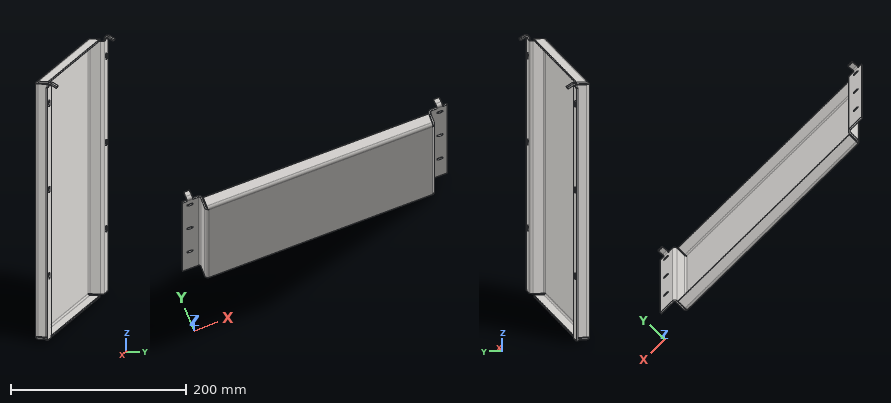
import cadquery as cq
import math

sheet = 2.0
inner_radius = 2.0
outer_radius = inner_radius + sheet

half_width = 162.0
wall_outer = 140.5
wall_inner = wall_outer - sheet
wing_back = 19.8
wing_front = wing_back - sheet
wing_bottom = 3.2
wing_top = 296.8

panel_height = 299.7
return_half_width = 138.0
return_depth = 15.2

hole_diameter = 7.0
hole_x = half_width - 9.0
top_hole_z = wing_top - 19.5
hole_pitch = 100.0
hole_count = 3

hook_width = 7.0
hook_inner_radius = 1.3
hook_outer_radius = hook_inner_radius + sheet
hook_turn = 120.0
hook_top = 301.5
hook_tip_y = 29.5
hook_root = 3.2
hook_corner_radius = 1.0


def make_channel():
    """Hat section extruded vertically, with clearance for the end returns."""
    half = (
        cq.Workplane("XY", origin=(0, 0, wing_bottom))
        .lineTo(wall_outer - outer_radius, 0)
        .tangentArcPoint((wall_outer, outer_radius), relative=False)
        .lineTo(wall_outer, wing_front - inner_radius)
        .tangentArcPoint((wall_outer + inner_radius, wing_front), relative=False)
        .lineTo(half_width, wing_front)
        .lineTo(half_width, wing_back)
        .lineTo(wall_inner + outer_radius, wing_back)
        .tangentArcPoint((wall_inner, wing_back - outer_radius), relative=False)
        .lineTo(wall_inner, outer_radius)
        .tangentArcPoint((wall_inner - inner_radius, sheet), relative=False)
        .lineTo(0, sheet)
        .close()
        .extrude(wing_top - wing_bottom)
    )
    channel = half.union(half.mirror("YZ"))
    clearance = cq.Workplane("XY").box(
        2 * return_half_width, 2 * sheet, outer_radius, centered=(True, True, False)
    )
    for z in (0, panel_height - outer_radius):
        channel = channel.cut(clearance.translate((0, 0, z)))
    return channel


def make_bottom_return():
    """Bend and flange along the bottom edge of the panel."""
    return (
        cq.Workplane("YZ")
        .moveTo(sheet, outer_radius)
        .lineTo(0, outer_radius)
        .radiusArc((outer_radius, 0), -outer_radius)
        .lineTo(return_depth, 0)
        .lineTo(return_depth, sheet)
        .lineTo(outer_radius, sheet)
        .radiusArc((sheet, outer_radius), inner_radius)
        .close()
        .extrude(return_half_width, both=True)
    )


def make_hook(center_x):
    """Strip rising from a wing, bent back and down to a rounded tip."""
    center_y = wing_front + hook_outer_radius
    center_z = hook_top - hook_outer_radius

    def on_bend(radius, turn):
        angle = math.radians(180 - turn)
        return (center_y + radius * math.cos(angle), center_z + radius * math.sin(angle))

    slope = math.radians(hook_turn - 90)
    outer_end = on_bend(hook_outer_radius, hook_turn)
    inner_end = on_bend(hook_inner_radius, hook_turn)
    run = hook_tip_y - outer_end[0]
    drop = run * math.tan(slope)
    hook = (
        cq.Workplane("YZ", origin=(center_x, 0, 0))
        .moveTo(wing_front, wing_top - hook_root)
        .lineTo(wing_front, center_z)
        .threePointArc(on_bend(hook_outer_radius, hook_turn / 2), outer_end)
        .lineTo(outer_end[0] + run, outer_end[1] - drop)
        .lineTo(inner_end[0] + run, inner_end[1] - drop)
        .lineTo(*inner_end)
        .threePointArc(on_bend(hook_inner_radius, hook_turn / 2), (wing_back, center_z))
        .lineTo(wing_back, wing_top - hook_root)
        .close()
        .extrude(hook_width / 2, both=True)
    )
    tip_direction = cq.Vector(0, math.cos(slope), -math.sin(slope))
    tip = hook.faces(cq.selectors.DirectionMinMaxSelector(tip_direction, True))
    return tip.edges("not |X").fillet(hook_corner_radius)


def make_wing_holes():
    """Drills for both rows of wing holes."""
    centers = [
        (side * hole_x, top_hole_z - row * hole_pitch)
        for side in (-1, 1)
        for row in range(hole_count)
    ]
    return (
        cq.Workplane("XZ", origin=(0, wing_back, 0))
        .pushPoints(centers)
        .circle(hole_diameter / 2)
        .extrude(sheet)
    )


bottom_return = make_bottom_return()
top_return = bottom_return.mirror("XY", (0, 0, panel_height / 2))
result = make_channel().union(bottom_return).union(top_return)
for side in (-1, 1):
    result = result.union(make_hook(side * hole_x))
result = result.cut(make_wing_holes())